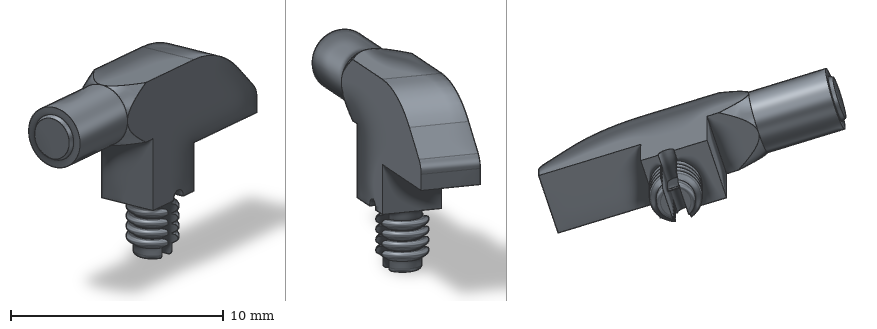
import cadquery as cq
import math


width = 3.0
length = 14.4
head_end_y = 6.3
arm_end_y = head_end_y - length
top_z = 6.6

head_depth = 4.16
nose_angle = math.radians(45)
nose_top_radius = 5.0
nose_tip_radius = 0.94

pin_radius = 0.92
pin_length = 3.08
pin_end_fillet = 0.2
rib_radius = 1.25
rib_tip_radius = 0.16
rib_angle = math.radians(35)
rib_count = 4
rib_pitch = 0.5
first_rib_z = -0.52

post_back_y = rib_radius
post_front_y = -2.03

arm_radius = width / 2
arm_axis_z = top_z - arm_radius
arm_start_y = -4.09
blend_length = 1.48
tip_length = 0.2
tip_base_radius = 1.12
tip_end_radius = 1.01

slot_width = 0.78
slot_top_z = 0.43
web_thickness = 0.12
web_bottom_z = -1.08
web_chamfer_height = 0.1
web_chamfer_width = 0.05


def make_body():
    """Flat-sided body with head, post and the square stub of the arm."""
    head_bottom_z = top_z - head_depth
    arc_center_z = top_z - nose_top_radius
    slope_top = (
        post_back_y + nose_top_radius * math.sin(nose_angle),
        arc_center_z + nose_top_radius * math.cos(nose_angle),
    )
    arc_middle = (
        post_back_y + nose_top_radius * math.sin(nose_angle / 2),
        arc_center_z + nose_top_radius * math.cos(nose_angle / 2),
    )
    nose_z = slope_top[1] - (head_end_y - slope_top[0]) * math.tan(nose_angle)

    profile = (
        cq.Workplane("YZ")
        .moveTo(arm_start_y, top_z)
        .lineTo(post_back_y, top_z)
        .threePointArc(arc_middle, slope_top)
        .lineTo(head_end_y, nose_z)
        .lineTo(head_end_y, head_bottom_z)
        .lineTo(post_back_y, head_bottom_z)
        .lineTo(post_back_y, 0)
        .lineTo(post_front_y, 0)
        .lineTo(post_front_y, top_z - width)
        .lineTo(arm_start_y, top_z - width)
        .close()
    )
    body = profile.extrude(width / 2, both=True)
    nose_edge = cq.selectors.NearestToPointSelector((0, head_end_y, nose_z))
    return body.edges(nose_edge).fillet(nose_tip_radius)


def round_off_stub(body):
    """Cone the corners of the square stub down to the round arm."""
    corner_radius = arm_radius * math.sqrt(2)
    stub = cq.Workplane("XY").box(width, blend_length, width).translate(
        (0, arm_start_y + blend_length / 2, arm_axis_z)
    )
    cone = cq.Workplane(
        cq.Solid.makeCone(
            arm_radius,
            corner_radius,
            blend_length,
            pnt=cq.Vector(0, arm_start_y, arm_axis_z),
            dir=cq.Vector(0, 1, 0),
        )
    )
    return body.cut(stub.cut(cone))


def make_arm():
    """Round arm with a tapered tip, revolved about its own axis."""
    shoulder_y = arm_end_y + tip_length
    outline = [
        (0, arm_start_y),
        (arm_radius, arm_start_y),
        (arm_radius, shoulder_y),
        (tip_base_radius, shoulder_y),
        (tip_end_radius, arm_end_y),
        (0, arm_end_y),
    ]
    arm = cq.Workplane("XY").polyline(outline).close().revolve(360, (0, 0), (0, 1))
    return arm.translate((0, 0, arm_axis_z))


def make_rib(rib_top_z):
    """One rib: flat top, rounded tip and a conical underside."""
    center_r = rib_radius - rib_tip_radius
    center_z = rib_top_z - rib_tip_radius

    def tip_point(angle):
        """Point on the tip arc, with the angle measured up from the crest."""
        return (
            center_r + rib_tip_radius * math.cos(angle),
            center_z + rib_tip_radius * math.sin(angle),
        )

    crest = tip_point(0)
    upper_middle = tip_point(math.pi / 4)
    tip_end_angle = rib_angle - math.pi / 2
    lower_middle = tip_point(tip_end_angle / 2)
    tip_end = tip_point(tip_end_angle)
    root_z = tip_end[1] - (tip_end[0] - pin_radius) * math.tan(rib_angle)
    return (
        cq.Workplane("XZ")
        .moveTo(0, rib_top_z)
        .lineTo(center_r, rib_top_z)
        .threePointArc(upper_middle, crest)
        .threePointArc(lower_middle, tip_end)
        .lineTo(pin_radius, root_z)
        .lineTo(0, root_z)
        .close()
        .revolve(360, (0, 0), (0, 1))
    )


def make_pin():
    """Ribbed pin hanging from the underside of the post."""
    pin = cq.Workplane("XY").circle(pin_radius).extrude(-pin_length)
    pin = pin.faces("<Z").edges().fillet(pin_end_fillet)
    for index in range(rib_count):
        pin = pin.union(make_rib(first_rib_z - index * rib_pitch))
    return pin


def make_slot():
    """Round-topped slot along X, through the pin and into the post."""
    half_width = slot_width / 2
    spring_z = slot_top_z - half_width
    return (
        cq.Workplane("YZ")
        .moveTo(-half_width, -pin_length)
        .lineTo(-half_width, spring_z)
        .threePointArc((0, slot_top_z), (half_width, spring_z))
        .lineTo(half_width, -pin_length)
        .close()
        .extrude(width / 2, both=True)
    )


def make_web():
    """Thin wall across the slot, chamfered along its lower edges."""
    half = web_thickness / 2
    outline = [
        (-half, slot_top_z),
        (-half, web_bottom_z + web_chamfer_height),
        (-half + web_chamfer_width, web_bottom_z),
        (half - web_chamfer_width, web_bottom_z),
        (half, web_bottom_z + web_chamfer_height),
        (half, slot_top_z),
    ]
    return cq.Workplane("XZ").polyline(outline).close().extrude(slot_width / 2, both=True)


slot = make_slot().cut(make_web())
result = round_off_stub(make_body()).union(make_arm()).union(make_pin()).cut(slot)